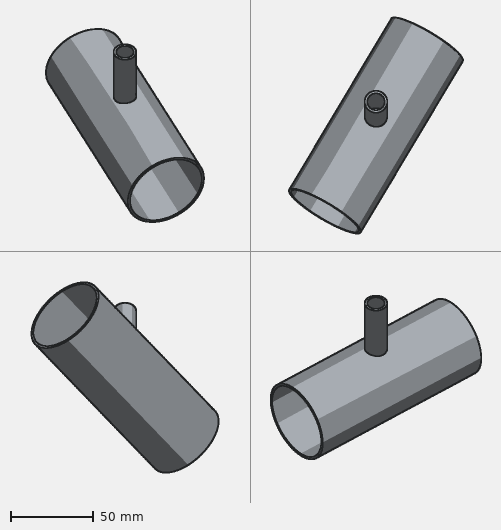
import cadquery as cq

main_length = 124.0
main_outer_diameter = 50.8
main_inner_diameter = 47.7

branch_outer_diameter = 13.8
branch_inner_diameter = 10.5
branch_top = 62.0


def main_cylinder(diameter):
    """Solid cylinder along X over the full length of the main pipe."""
    return cq.Workplane("YZ").circle(diameter / 2).extrude(main_length / 2, both=True)


def branch_cylinder(diameter):
    """Solid cylinder from the main pipe axis up to the branch opening."""
    return cq.Workplane("XY").circle(diameter / 2).extrude(branch_top)


body = main_cylinder(main_outer_diameter).union(branch_cylinder(branch_outer_diameter))
result = body.cut(main_cylinder(main_inner_diameter)).cut(branch_cylinder(branch_inner_diameter))